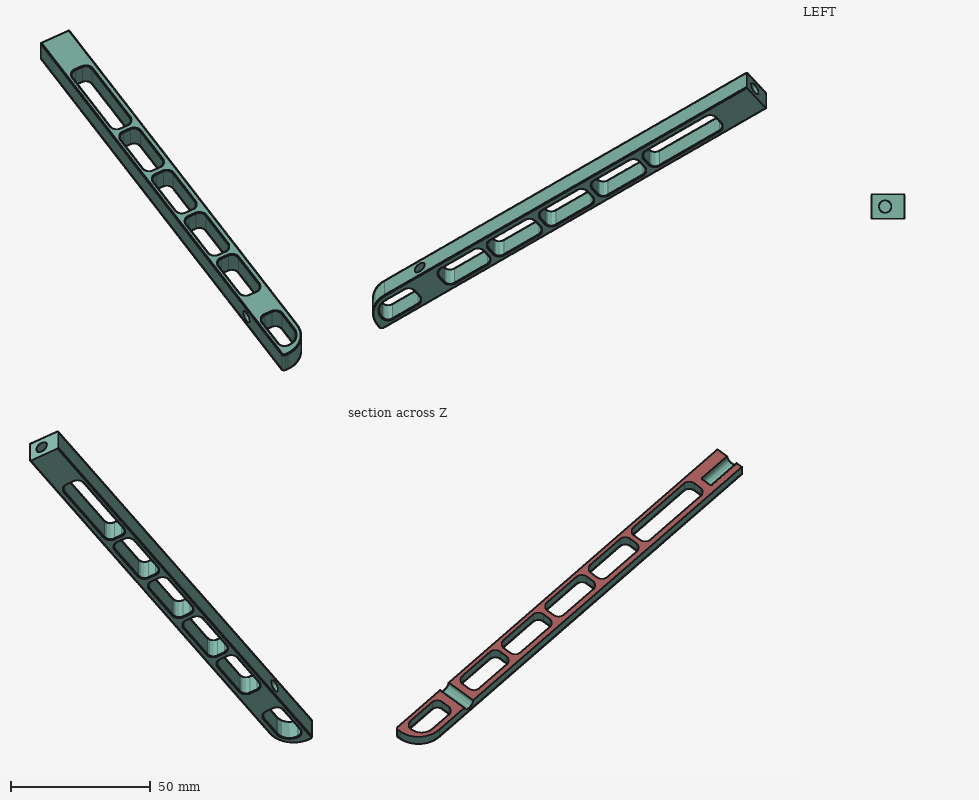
import cadquery as cq

LENGTH = 170.5
WIDTH = 12.0
HEIGHT = 8.9
NOSE_RADIUS = 10.0
TIP_RADIUS = 1.0
EDGE_CHAMFER = 0.3

FRONT_WALL = 1.7
BACK_WALL = 2.2
POCKET_RADIUS = 2.5
LONG_POCKET_START = 17.0
LONG_POCKET_LENGTH = 31.7
MIDDLE_POCKETS_START = 51.0
MIDDLE_POCKET_LENGTH = 20.6
MIDDLE_POCKET_PITCH = 23.0
MIDDLE_POCKET_COUNT = 3
SHORT_POCKET_START = 119.8
SHORT_POCKET_LENGTH = 19.6
NOSE_POCKET_START = 150.5
NOSE_POCKET_LENGTH = 16.4
NOSE_POCKET_RADIUS = 5.3

HOLE_DIAMETER = 4.5
CROSS_HOLE_X = 144.7
END_HOLE_Y = 7.0
END_HOLE_DEPTH = 13.6

pocket_width = WIDTH - FRONT_WALL - BACK_WALL
hole_radius = HOLE_DIAMETER / 2
mid_height = HEIGHT / 2


def make_bar():
    """Rectangular bar with a rounded nose at its back right corner and a small tip radius in front."""
    bar = cq.Workplane("XY").box(LENGTH, WIDTH, HEIGHT, centered=False)
    bar = bar.edges("|Z and >X and >Y").fillet(NOSE_RADIUS)
    return bar.edges("|Z and >X and <Y").fillet(TIP_RADIUS)


def make_pocket(start, length, back_right_radius=POCKET_RADIUS):
    """Pocket through the whole height; only its back right corner may have another radius."""
    pocket = (
        cq.Workplane("XY", origin=(start, FRONT_WALL, 0))
        .box(length, pocket_width, HEIGHT, centered=False)
    )
    pocket = pocket.edges("|Z and >X and >Y").fillet(back_right_radius)
    pocket = pocket.edges("|Z and <X").fillet(POCKET_RADIUS)
    return pocket.edges("|Z and >X and <Y").fillet(POCKET_RADIUS)


def make_cross_hole():
    """Hole through the width, in the solid stretch before the nose pocket."""
    return (
        cq.Workplane("XZ")
        .center(CROSS_HOLE_X, mid_height)
        .circle(hole_radius)
        .extrude(-WIDTH)
    )


def make_end_hole():
    """Blind hole into the flat left end."""
    return (
        cq.Workplane("YZ")
        .center(END_HOLE_Y, mid_height)
        .circle(hole_radius)
        .extrude(END_HOLE_DEPTH)
    )


part = make_bar()

part = part.cut(make_pocket(LONG_POCKET_START, LONG_POCKET_LENGTH))
for index in range(MIDDLE_POCKET_COUNT):
    middle_start = MIDDLE_POCKETS_START + index * MIDDLE_POCKET_PITCH
    part = part.cut(make_pocket(middle_start, MIDDLE_POCKET_LENGTH))
part = part.cut(make_pocket(SHORT_POCKET_START, SHORT_POCKET_LENGTH))
part = part.cut(make_pocket(NOSE_POCKET_START, NOSE_POCKET_LENGTH, NOSE_POCKET_RADIUS))

part = part.faces(">Z or <Z").edges("not <X").chamfer(EDGE_CHAMFER)

result = part.cut(make_cross_hole()).cut(make_end_hole())